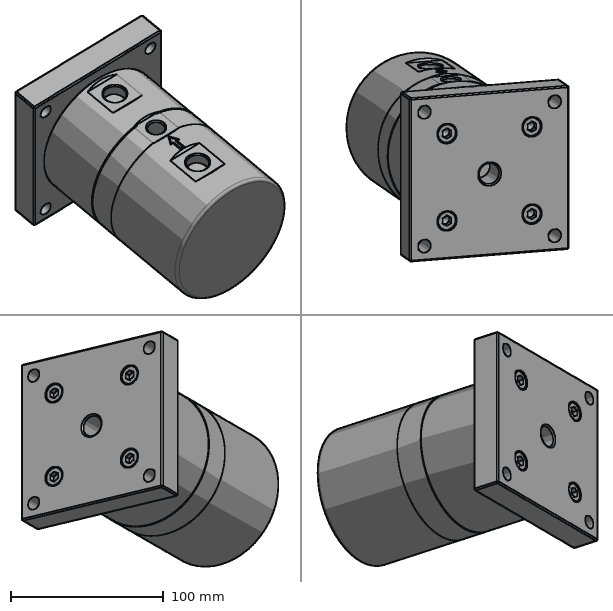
import cadquery as cq
import math

PLATE_SIDE = 110.0
PLATE_THICKNESS = 20.0
PLATE_CHAMFER = 1.0
CORNER_HOLE_DIAMETER = 8.8
CORNER_HOLE_OFFSET = 45.0
CENTER_THREAD_DIAMETER = 13.84
CENTER_THREAD_MOUTH = 16.0

TOTAL_LENGTH = 154.0
BODY_DIAMETER = 94.0
BODY_RADIUS = BODY_DIAMETER / 2
CUTTER_TOP = BODY_RADIUS + 1.0
FRONT_SECTION_CHAMFER = 0.5
BODY_END_FILLET = 2.0

RING_DIAMETER = 94.1
RING_START = 69.0
RING_END = 88.0

SCREW_OFFSET = 29.35
SCREW_BORE_DIAMETER = 13.4
SCREW_HEAD_DIAMETER = 13.0
SCREW_HEAD_LENGTH = 8.0
SCREW_HEAD_RECESS = 0.5
SCREW_HEAD_CHAMFER = 0.5
SOCKET_ACROSS_FLATS = 6.0
SOCKET_DEPTH = 4.0
SOCKET_TIP_DEPTH = 1.7

FLAT_WALL_ANGLE = 45.0
MAIN_PORT_CENTERS = (36.8, 120.0)
MAIN_FLAT_LENGTH = 25.4
MAIN_FLAT_HEIGHT = 45.3
MAIN_THREAD_DIAMETER = 14.95
MAIN_THREAD_MOUTH = 16.7
MAIN_FLOOR_RADIUS = 37.5
MIDDLE_PORT_CENTER = 78.4
MIDDLE_FLAT_LENGTH = 20.0
MIDDLE_FLAT_HEIGHT = 45.77
MIDDLE_THREAD_DIAMETER = 11.45
MIDDLE_THREAD_MOUTH = 13.4
MIDDLE_PORT_DEPTH = 15.0

ARROW_TIP_X = 90.4
ARROW_LENGTH = 14.6
ARROW_HEAD_LENGTH = 6.8
ARROW_HEAD_WIDTH = 7.4
ARROW_SHAFT_WIDTH = 3.4
ARROW_LINE_WIDTH = 0.7
ARROW_DEPTH = 0.3


def cylinder_x(start, end, diameter):
    """Cylinder on the part axis between two X positions."""
    return cq.Workplane("YZ", origin=(start, 0, 0)).circle(diameter / 2).extrude(end - start)


def chamfered_hole(plane, depth, diameter, mouth_diameter):
    """Hole with a 45 degree mouth chamfer; the plane's Y direction points out of the hole."""
    mouth_depth = (mouth_diameter - diameter) / 2
    return (
        cq.Workplane(plane)
        .lineTo(mouth_diameter / 2, 0)
        .lineTo(diameter / 2, -mouth_depth)
        .lineTo(diameter / 2, -depth)
        .lineTo(0, -depth)
        .close()
        .revolve(360, (0, 0, 0), (0, 1, 0))
    )


def square_pattern(offset):
    """The four (Y, Z) corners of a square centred on the part axis."""
    return [(y, z) for y in (-offset, offset) for z in (-offset, offset)]


def make_plate():
    plate = cq.Workplane("YZ").rect(PLATE_SIDE, PLATE_SIDE).extrude(PLATE_THICKNESS)
    plate = plate.edges().chamfer(PLATE_CHAMFER)
    corner_holes = (
        cq.Workplane("YZ")
        .pushPoints(square_pattern(CORNER_HOLE_OFFSET))
        .circle(CORNER_HOLE_DIAMETER / 2)
        .extrude(PLATE_THICKNESS)
    )
    facing_front = cq.Plane(origin=(0, 0, 0), xDir=(0, 1, 0), normal=(0, 0, 1))
    center_hole = chamfered_hole(facing_front, PLATE_THICKNESS, CENTER_THREAD_DIAMETER, CENTER_THREAD_MOUTH)
    return plate.cut(corner_holes).cut(center_hole)


def make_body():
    """Front section, slightly raised ring and rounded rear section."""
    front_section = cylinder_x(PLATE_THICKNESS, RING_START, BODY_DIAMETER)
    front_section = front_section.edges().chamfer(FRONT_SECTION_CHAMFER)
    ring = cylinder_x(RING_START, RING_END, RING_DIAMETER)
    rear_section = cylinder_x(RING_END, TOTAL_LENGTH, BODY_DIAMETER)
    rear_section = rear_section.faces(">X").edges().fillet(BODY_END_FILLET)
    return front_section.union(ring).union(rear_section)


def make_screw_head():
    """Screw head on the X axis with a hexagon socket that ends in a cone."""
    head = cylinder_x(SCREW_HEAD_RECESS, SCREW_HEAD_RECESS + SCREW_HEAD_LENGTH, SCREW_HEAD_DIAMETER)
    head = head.faces("<X").edges().chamfer(SCREW_HEAD_CHAMFER)
    across_corners = SOCKET_ACROSS_FLATS / math.cos(math.pi / 6)
    socket = (
        cq.Workplane("YZ", origin=(SCREW_HEAD_RECESS, 0, 0))
        .transformed(rotate=(0, 0, 90))
        .polygon(6, across_corners)
        .extrude(SOCKET_DEPTH)
    )
    tip = cq.Workplane(
        cq.Solid.makeCone(
            SOCKET_ACROSS_FLATS / 2,
            0,
            SOCKET_TIP_DEPTH,
            pnt=cq.Vector(SCREW_HEAD_RECESS + SOCKET_DEPTH, 0, 0),
            dir=cq.Vector(1, 0, 0),
        )
    )
    return head.cut(socket).cut(tip)


def add_screws(part):
    bore = cylinder_x(0, SCREW_HEAD_RECESS + SCREW_HEAD_LENGTH, SCREW_BORE_DIAMETER)
    head = make_screw_head()
    for y, z in square_pattern(SCREW_OFFSET):
        part = part.cut(bore.translate((0, y, z))).union(head.translate((0, y, z)))
    return part


def flat_cutter(center_x, length, height):
    """Block across the top whose end walls slope outward above the flat."""
    rise = CUTTER_TOP - height
    half_bottom = length / 2
    half_top = half_bottom + rise / math.tan(math.radians(FLAT_WALL_ANGLE))
    return (
        cq.Workplane("XZ", origin=(center_x, BODY_RADIUS, height))
        .moveTo(-half_bottom, 0)
        .lineTo(half_bottom, 0)
        .lineTo(half_top, rise)
        .lineTo(-half_top, rise)
        .close()
        .extrude(BODY_DIAMETER)
    )


def facing_up(center_x, flat_height):
    """Plane at the middle of a flat, with its own Y direction pointing up."""
    return cq.Plane(origin=(center_x, 0, flat_height), xDir=(1, 0, 0), normal=(0, -1, 0))


def cut_main_ports(part):
    """Outer ports, each ending on a cylinder around the part axis."""
    core = cylinder_x(PLATE_THICKNESS, TOTAL_LENGTH, 2 * MAIN_FLOOR_RADIUS)
    for center_x in MAIN_PORT_CENTERS:
        plane = facing_up(center_x, MAIN_FLAT_HEIGHT)
        hole = chamfered_hole(plane, MAIN_FLAT_HEIGHT, MAIN_THREAD_DIAMETER, MAIN_THREAD_MOUTH)
        flat = flat_cutter(center_x, MAIN_FLAT_LENGTH, MAIN_FLAT_HEIGHT)
        part = part.cut(flat).cut(hole.cut(core))
    return part


def cut_middle_port(part):
    """Smaller, deeper port on the ring, with a flat floor."""
    plane = facing_up(MIDDLE_PORT_CENTER, MIDDLE_FLAT_HEIGHT)
    hole = chamfered_hole(plane, MIDDLE_PORT_DEPTH, MIDDLE_THREAD_DIAMETER, MIDDLE_THREAD_MOUTH)
    flat = flat_cutter(MIDDLE_PORT_CENTER, MIDDLE_FLAT_LENGTH, MIDDLE_FLAT_HEIGHT)
    return part.cut(flat).cut(hole)


def engrave_arrow(part):
    """Groove that follows the arrow outline and leaves its inside at full height."""
    head_end = ARROW_TIP_X + ARROW_HEAD_LENGTH
    tail = ARROW_TIP_X + ARROW_LENGTH
    half_head = ARROW_HEAD_WIDTH / 2
    half_shaft = ARROW_SHAFT_WIDTH / 2
    outline = cq.Workplane("XY").polyline(
        [
            (ARROW_TIP_X, 0),
            (head_end, half_head),
            (head_end, half_shaft),
            (tail, half_shaft),
            (tail, -half_shaft),
            (head_end, -half_shaft),
            (head_end, -half_head),
        ]
    ).close()
    outer = outline.extrude(CUTTER_TOP)
    inner_outline = outer.faces("<Z").wires().toPending().offset2D(-ARROW_LINE_WIDTH)
    inner = inner_outline.extrude(CUTTER_TOP, combine=False)
    core = cylinder_x(PLATE_THICKNESS, TOTAL_LENGTH, BODY_DIAMETER - 2 * ARROW_DEPTH)
    return part.cut(outer.cut(inner).cut(core))


part = make_plate().union(make_body())
part = add_screws(part)
part = cut_main_ports(part)
part = cut_middle_port(part)
result = engrave_arrow(part)